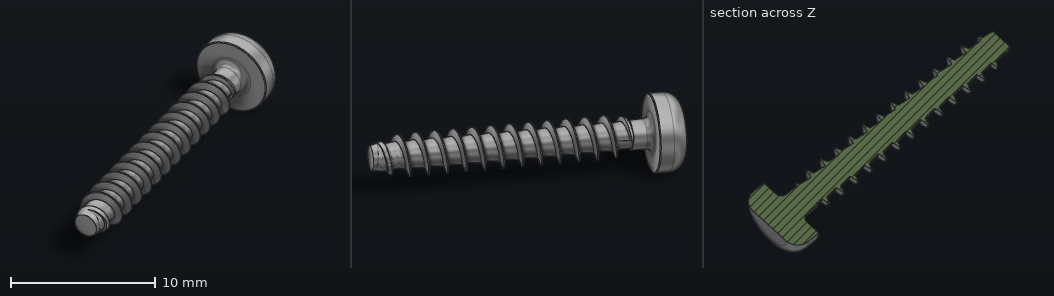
import cadquery as cq


total_length = 22.1
head_diameter = 5.6
head_height = 2.12
head_round = 1.1
head_edge_chamfer = 0.07

shank_radius = 1.05
neck_fillet = 0.5
shank_length = 1.5

thread_radius = 1.52
helix_length = 18.75
turns = 14
pitch = helix_length / turns
root_radius = 0.9
core_overlap = 0.01
core_radius = root_radius + core_overlap
root_radius_below_flank = 1.02
upper_flank_height = 0.15
lower_flank_height = 0.22
crest_half_width = 0.05
root_overlap = 0.1
turn_gap = 0.02
start_crest_radius = 1.24
run_in_length = 1.55
tip_radius = 0.86
run_out_length = 2.32
envelope_clearance = 0.07

head_radius = head_diameter / 2
tip_z = head_height - total_length
thread_top_z = -shank_length


def make_head():
    """Pan head with a rounded top edge and a small chamfer underneath."""
    head = cq.Workplane("XY").circle(head_radius).extrude(head_height)
    head = head.faces(">Z").edges().fillet(head_round)
    return head.faces("<Z").edges().chamfer(head_edge_chamfer)


def make_neck():
    """Plain shank with a concave fillet flaring into the head underside."""
    flare_radius = shank_radius + neck_fillet
    fillet_offset = neck_fillet * (1 - 0.5 ** 0.5)
    return (
        cq.Workplane("XZ")
        .lineTo(flare_radius, 0)
        .threePointArc(
            (shank_radius + fillet_offset, -fillet_offset),
            (shank_radius, -neck_fillet),
        )
        .lineTo(shank_radius, thread_top_z)
        .lineTo(0, thread_top_z)
        .close()
        .revolve(360, (0, 0, 0), (0, 1, 0))
    )


def make_envelope(body_radius):
    """Solid of revolution limiting the thread's run-in, crest and run-out."""
    return (
        cq.Workplane("XZ")
        .moveTo(0, thread_top_z)
        .lineTo(start_crest_radius, thread_top_z)
        .lineTo(body_radius, thread_top_z - run_in_length)
        .lineTo(body_radius, tip_z + run_out_length)
        .lineTo(tip_radius, tip_z)
        .lineTo(0, tip_z)
        .close()
        .revolve(360, (0, 0, 0), (0, 1, 0))
    )


def make_ridge():
    """Helical ridge followed by the root taper leading to the next turn."""
    helix_start_z = thread_top_z - helix_length
    inner_radius = root_radius - root_overlap
    path = cq.Wire.makeHelix(pitch, helix_length, root_radius)
    profile = (
        cq.Workplane("XZ")
        .moveTo(inner_radius, upper_flank_height)
        .lineTo(root_radius, upper_flank_height)
        .lineTo(thread_radius, crest_half_width)
        .lineTo(thread_radius, -crest_half_width)
        .lineTo(root_radius_below_flank, -lower_flank_height)
        .lineTo(root_radius, upper_flank_height + turn_gap - pitch)
        .lineTo(inner_radius, upper_flank_height + turn_gap - pitch)
        .close()
    )
    ridge = profile.sweep(cq.Workplane(path), isFrenet=True)
    return ridge.translate((0, 0, helix_start_z))


def make_threaded_shank():
    """Threaded core and ridge trimmed to the tapered ends."""
    core = (
        cq.Workplane("XY")
        .workplane(offset=tip_z)
        .circle(core_radius)
        .extrude(thread_top_z - tip_z)
    )
    envelope = make_envelope(thread_radius + envelope_clearance)
    return core.intersect(envelope).union(make_ridge().intersect(envelope))


screw = make_head().union(make_neck()).union(make_threaded_shank())
result = screw.rotate((0, 0, 0), (1, 0, 0), -90)